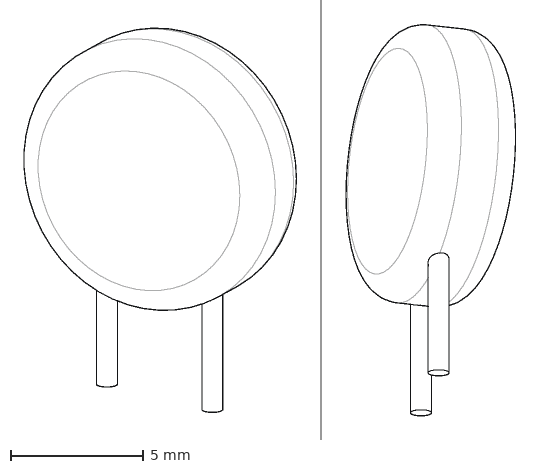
import cadquery as cq

total_height = 14.3
disc_diameter = 10.6
disc_thickness = 3.5
rim_radius = 1.0

lead_diameter = 0.8
lead_positions = [(-2.6, 0.66), (2.5, -0.55)]

disc_center_z = total_height - disc_diameter / 2


def make_disc():
    """Round body with its axis along Y and both rims rounded."""
    return (
        cq.Workplane("XZ", origin=(0, disc_thickness / 2, disc_center_z))
        .circle(disc_diameter / 2)
        .extrude(disc_thickness)
        .edges("%CIRCLE")
        .fillet(rim_radius)
    )


def make_lead(x, y, disc):
    """Straight round wire whose upper end follows the surface of the disc."""
    wire = (
        cq.Workplane("XY")
        .center(x, y)
        .circle(lead_diameter / 2)
        .extrude(disc_center_z)
    )
    return wire.cut(disc).solids("<Z")


disc = make_disc()
leads = [make_lead(x, y, disc) for x, y in lead_positions]

result = cq.Compound.makeCompound([disc.val(), *[lead.val() for lead in leads]])